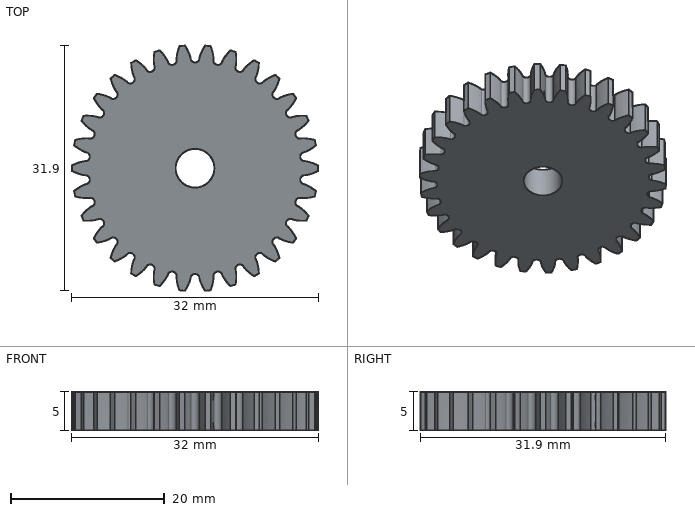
import cadquery as cq
import math

MODULE = 1.0
TEETH = 30
PRESSURE_ANGLE = 20.0
FACE_WIDTH = 5.0
BORE_DIAMETER = 5.0
DEDENDUM_FACTOR = 1.25
FLANK_POINTS = 6

pitch_radius = MODULE * TEETH / 2
base_radius = pitch_radius * math.cos(math.radians(PRESSURE_ANGLE))
tip_radius = pitch_radius + MODULE
root_radius = pitch_radius - DEDENDUM_FACTOR * MODULE

tooth_pitch = 2 * math.pi / TEETH
half_tooth_at_pitch = tooth_pitch / 4


def polar(radius, angle):
    return (radius * math.cos(angle), radius * math.sin(angle))


def involute(pressure_angle):
    return math.tan(pressure_angle) - pressure_angle


def half_tooth_angle(radius):
    """Angle from the tooth centre line to the involute flank at a radius."""
    local_pressure_angle = math.acos(base_radius / radius)
    return half_tooth_at_pitch + involute(math.radians(PRESSURE_ANGLE)) - involute(local_pressure_angle)


def flank(centre, side):
    """Points along one flank from the base circle to the tip; side is -1 or +1."""
    tip_roll = math.sqrt((tip_radius / base_radius) ** 2 - 1)
    points = []
    for step in range(FLANK_POINTS):
        roll = tip_roll * step / (FLANK_POINTS - 1)
        radius = base_radius * math.sqrt(1 + roll**2)
        points.append(polar(radius, centre + side * half_tooth_angle(radius)))
    return points


def gear_outline():
    """Closed outline of all teeth, with a tooth centred on the +X axis."""
    outline = cq.Workplane("XY").moveTo(*flank(0, -1)[0])
    for tooth in range(TEETH):
        centre = tooth * tooth_pitch
        rising = flank(centre, -1)
        falling = flank(centre, 1)
        falling.reverse()
        outline = outline.spline(rising[1:], includeCurrent=True)
        outline = outline.lineTo(*falling[0])
        outline = outline.spline(falling[1:], includeCurrent=True)
        next_flank_start = flank(centre + tooth_pitch, -1)[0]
        outline = outline.threePointArc(polar(root_radius, centre + tooth_pitch / 2), next_flank_start)
    return outline.close()


def bore():
    return cq.Workplane("XY").circle(BORE_DIAMETER / 2).extrude(FACE_WIDTH)


result = gear_outline().extrude(FACE_WIDTH).cut(bore())